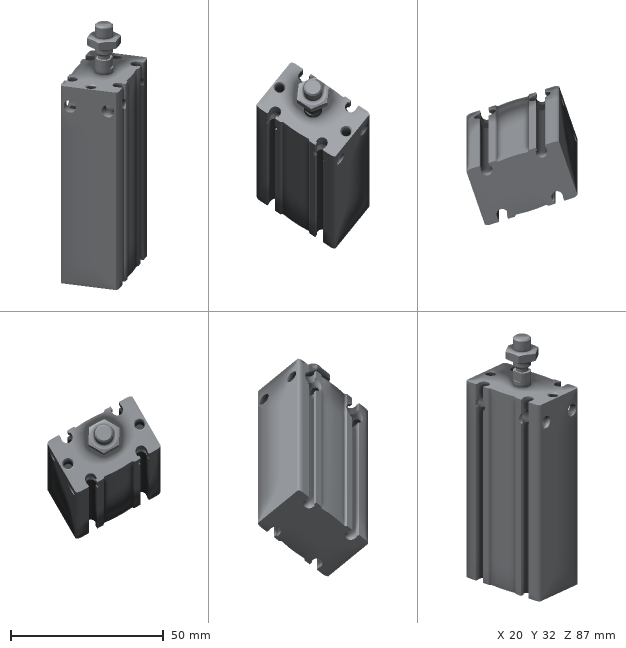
import cadquery as cq
import math

BODY_HEIGHT = 70.0
HALF_WIDTH = 10.0
HALF_LENGTH = 16.0
END_FACE_HALF_WIDTH = 9.4
CORNER_ARC_X = 9.75
CORNER_ARC_OUTER_Y = 15.6
CORNER_ARC_INNER_Y = 14.2

RECESS_OUTER_Y = 5.8
RECESS_FLOOR_Y = 5.3
CROWN_EDGE_Y = 4.9
RECESS_HALF_WIDTH = 9.5
CROWN_HALF_WIDTH = 9.75

GROOVE_Y = 9.5
GROOVE_WIDTH = 3.7
GROOVE_DEPTH = 3.9
GROOVE_LIP_DEPTH = 1.1
GROOVE_MOUTH_INNER_Y = 8.2
GROOVE_MOUTH_OUTER_Y = 11.2
GROOVE_MOUTH_BEVEL = 0.2

MOUNT_DIAMETER = 4.3
MOUNT_DROP = 7.0
MOUNT_Z = BODY_HEIGHT - MOUNT_DROP
LENGTHWISE_HOLE_X = 6.5
COUNTERBORE_DIAMETER = 7.5
COUNTERBORE_DEPTH = 6.0

TOP_HOLE_DIAMETER = 3.2
TOP_HOLE_MOUTH_DIAMETER = 4.0
TOP_HOLE_Y = 13.5
TOP_HOLE_DEPTH = 7.0

ROD_DIAMETER = 6.0
ROD_TOP = 87.0
ROD_TIP_CHAMFER = 0.5
NECK_DIAMETER = 4.0
SHOULDER_Z = 75.1
NECK_TOP = 76.1
WRENCH_FLAT_WIDTH = 5.0
WRENCH_FLAT_BOTTOM = 71.9

NUT_ACROSS_FLATS = 10.0
NUT_HEIGHT = 3.2
NUT_BOTTOM = 79.5
NUT_FACE_DIAMETER = 9.0
NUT_CHAMFER_ANGLE = 18.0


def make_profile():
    """Closed outline of the housing, without the grooves."""
    arc_width = HALF_WIDTH - CORNER_ARC_X
    arc_length = CORNER_ARC_OUTER_Y - CORNER_ARC_INNER_Y
    arc_radius = (arc_length**2 + arc_width**2) / (2 * arc_width)
    mid_angle = math.asin(arc_length / arc_radius) / 2
    mid_x = HALF_WIDTH - arc_radius * (1 - math.cos(mid_angle))
    mid_y = CORNER_ARC_INNER_Y + arc_radius * math.sin(mid_angle)

    return (
        cq.Workplane("XY")
        .moveTo(0, HALF_LENGTH)
        .lineTo(END_FACE_HALF_WIDTH, HALF_LENGTH)
        .lineTo(CORNER_ARC_X, CORNER_ARC_OUTER_Y)
        .threePointArc((mid_x, mid_y), (HALF_WIDTH, CORNER_ARC_INNER_Y))
        .lineTo(HALF_WIDTH, RECESS_OUTER_Y)
        .lineTo(RECESS_HALF_WIDTH, RECESS_FLOOR_Y)
        .lineTo(RECESS_HALF_WIDTH, CROWN_EDGE_Y)
        .threePointArc((CROWN_HALF_WIDTH, 0), (RECESS_HALF_WIDTH, -CROWN_EDGE_Y))
        .lineTo(RECESS_HALF_WIDTH, -RECESS_FLOOR_Y)
        .lineTo(HALF_WIDTH, -RECESS_OUTER_Y)
        .lineTo(HALF_WIDTH, -CORNER_ARC_INNER_Y)
        .threePointArc((mid_x, -mid_y), (CORNER_ARC_X, -CORNER_ARC_OUTER_Y))
        .lineTo(END_FACE_HALF_WIDTH, -HALF_LENGTH)
        .lineTo(0, -HALF_LENGTH)
        .mirrorY()
    )


def make_groove(x_side, y_side):
    """Round-ended groove behind a narrower mouth, bevelled at its outer corner."""
    radius = GROOVE_WIDTH / 2
    lip_x = HALF_WIDTH - GROOVE_LIP_DEPTH
    end_x = HALF_WIDTH - GROOVE_DEPTH
    round_x = end_x + radius
    inner_y = GROOVE_Y - radius
    outer_y = GROOVE_Y + radius

    def place(x, y):
        return (x_side * x, y_side * y)

    return (
        cq.Workplane("XY")
        .polyline([
            place(round_x, outer_y),
            place(lip_x, outer_y),
            place(lip_x, GROOVE_MOUTH_OUTER_Y),
            place(HALF_WIDTH - GROOVE_MOUTH_BEVEL, GROOVE_MOUTH_OUTER_Y),
            place(HALF_WIDTH, GROOVE_MOUTH_OUTER_Y + GROOVE_MOUTH_BEVEL),
            place(HALF_WIDTH, GROOVE_MOUTH_INNER_Y),
            place(lip_x, GROOVE_MOUTH_INNER_Y),
            place(lip_x, inner_y),
            place(round_x, inner_y),
        ])
        .threePointArc(place(end_x, GROOVE_Y), place(round_x, outer_y))
        .close()
        .extrude(BODY_HEIGHT)
    )


def make_crosswise_hole(y):
    """Through hole along X, counterbored from the -X side."""
    plane = cq.Workplane("YZ", origin=(-HALF_WIDTH, y, MOUNT_Z))
    hole = plane.circle(MOUNT_DIAMETER / 2).extrude(2 * HALF_WIDTH)
    counterbore = plane.circle(COUNTERBORE_DIAMETER / 2).extrude(COUNTERBORE_DEPTH)
    return hole.union(counterbore)


def make_lengthwise_hole(x):
    """Plain through hole along Y."""
    plane = cq.Workplane("XZ", origin=(x, HALF_LENGTH, MOUNT_Z))
    return plane.circle(MOUNT_DIAMETER / 2).extrude(2 * HALF_LENGTH)


def make_top_hole(y):
    """Blind hole in the top face with a chamfered mouth."""
    radius = TOP_HOLE_DIAMETER / 2
    mouth_radius = TOP_HOLE_MOUTH_DIAMETER / 2
    chamfer = mouth_radius - radius
    return (
        cq.Workplane("XZ", origin=(0, y, BODY_HEIGHT))
        .polyline([
            (0, 0),
            (mouth_radius, 0),
            (radius, -chamfer),
            (radius, -TOP_HOLE_DEPTH),
            (0, -TOP_HOLE_DEPTH),
        ])
        .close()
        .revolve(360, (0, 0), (0, 1))
    )


def make_housing():
    housing = make_profile().extrude(BODY_HEIGHT)
    for side in (-1, 1):
        for x_side in (-1, 1):
            housing = housing.cut(make_groove(x_side, side))
        housing = housing.cut(make_crosswise_hole(side * GROOVE_Y))
        housing = housing.cut(make_lengthwise_hole(side * LENGTHWISE_HOLE_X))
        housing = housing.cut(make_top_hole(side * TOP_HOLE_Y))
    return housing


def make_rod():
    """Turned rod with a necked thread runout and two wrench flats."""
    radius = ROD_DIAMETER / 2
    neck_radius = NECK_DIAMETER / 2
    thread_bottom = NECK_TOP + radius - neck_radius
    rod = (
        cq.Workplane("XZ")
        .polyline([
            (0, BODY_HEIGHT),
            (radius, BODY_HEIGHT),
            (radius, SHOULDER_Z),
            (neck_radius, SHOULDER_Z),
            (neck_radius, NECK_TOP),
            (radius, thread_bottom),
            (radius, ROD_TOP - ROD_TIP_CHAMFER),
            (radius - ROD_TIP_CHAMFER, ROD_TOP),
            (0, ROD_TOP),
        ])
        .close()
        .revolve(360, (0, 0), (0, 1))
    )
    flat_height = SHOULDER_Z - WRENCH_FLAT_BOTTOM
    for side in (-1, 1):
        cut_x = side * (WRENCH_FLAT_WIDTH + ROD_DIAMETER) / 2
        flat_cut = (
            cq.Workplane("XY", origin=(cut_x, 0, WRENCH_FLAT_BOTTOM))
            .rect(ROD_DIAMETER, ROD_DIAMETER)
            .extrude(flat_height)
        )
        rod = rod.cut(flat_cut)
    return rod


def make_nut():
    """Hexagonal nut, corners along Y, conically chamfered on both faces."""
    corner_diameter = NUT_ACROSS_FLATS / math.cos(math.pi / 6)
    corner_radius = corner_diameter / 2
    face_radius = NUT_FACE_DIAMETER / 2
    drop = (corner_radius - face_radius) * math.tan(math.radians(NUT_CHAMFER_ANGLE))
    hexagon = (
        cq.Workplane("XY")
        .polygon(6, corner_diameter)
        .extrude(NUT_HEIGHT)
        .rotate((0, 0, 0), (0, 0, 1), 90)
    )
    chamfer_envelope = (
        cq.Workplane("XZ")
        .polyline([
            (0, 0),
            (face_radius, 0),
            (corner_radius, drop),
            (corner_radius, NUT_HEIGHT - drop),
            (face_radius, NUT_HEIGHT),
            (0, NUT_HEIGHT),
        ])
        .close()
        .revolve(360, (0, 0), (0, 1))
    )
    bore = cq.Workplane("XY").circle(ROD_DIAMETER / 2).extrude(NUT_HEIGHT)
    return hexagon.intersect(chamfer_envelope).cut(bore).translate((0, 0, NUT_BOTTOM))


housing = make_housing()
rod = make_rod()
nut = make_nut()

result = cq.Compound.makeCompound([housing.val(), rod.val(), nut.val()])